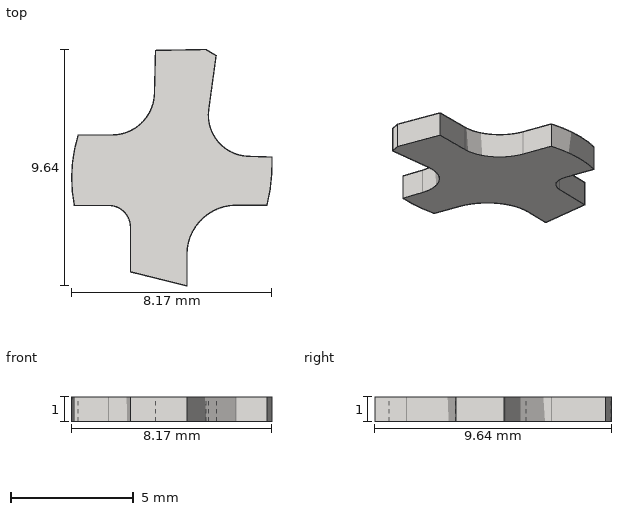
import cadquery as cq
import math

thickness = 1.0
length_x = 8.17
length_y = 9.64
left_x = -length_x / 2
right_x = length_x / 2
front_y = -length_y / 2
back_y = length_y / 2

back_arm_left_x = -0.67
back_left_drop = 0.035
back_left_lean = math.radians(1.4)
back_arm_right_x = 1.81
back_right_lean = math.radians(7.8)
clip_width = 0.42
clip_depth = 0.25

front_arm_left_x = -1.69
front_arm_right_x = 0.62
front_end_rise = 0.575

left_arm_back_y = 1.34
left_arm_front_y = -1.54
left_back_inset = 0.27
left_front_inset = 0.11
left_bulge_y = -0.43

right_arm_back_y = 0.44
right_arm_front_y = -1.53
right_back_slope = math.radians(1.8)
right_front_inset = 0.205
right_mid_inset = 0.033
right_mid_y = -0.55

back_left_radius = 1.72
back_right_radius = 1.67
front_left_radius = 0.88
front_right_radius = 2.0


def line_crossing(first_point, first_angle, second_point, second_angle):
    """Point where two lines meet, each given by a point and a direction angle."""
    dx = second_point[0] - first_point[0]
    dy = second_point[1] - first_point[1]
    cross = math.sin(second_angle - first_angle)
    travel = (dx * math.sin(second_angle) - dy * math.cos(second_angle)) / cross
    return (
        first_point[0] + travel * math.cos(first_angle),
        first_point[1] + travel * math.sin(first_angle),
    )


back_left_tip = (back_arm_left_x, back_y - back_left_drop)
back_clip_start = (back_arm_right_x - clip_width, back_y)
back_right_tip = (back_arm_right_x, back_y - clip_depth)
right_back_tip = (right_x, right_arm_back_y)
right_end_middle = (right_x - right_mid_inset, right_mid_y)
right_front_tip = (right_x - right_front_inset, right_arm_front_y)
front_right_tip = (front_arm_right_x, front_y)
front_left_tip = (front_arm_left_x, front_y + front_end_rise)
left_front_tip = (left_x + left_front_inset, left_arm_front_y)
left_back_tip = (left_x + left_back_inset, left_arm_back_y)

back_left_corner = line_crossing(
    back_left_tip, math.pi / 2 - back_left_lean, left_back_tip, 0
)
back_right_corner = line_crossing(
    back_right_tip, math.pi / 2 - back_right_lean, right_back_tip, -right_back_slope
)
front_right_corner = (front_arm_right_x, right_arm_front_y)
front_left_corner = (front_arm_left_x, left_arm_front_y)


def make_sharp_plate():
    """Plate with all inside corners still sharp."""
    return (
        cq.Workplane("XY")
        .moveTo(*back_left_tip)
        .lineTo(*back_clip_start)
        .lineTo(*back_right_tip)
        .lineTo(*back_right_corner)
        .lineTo(*right_back_tip)
        .threePointArc(right_end_middle, right_front_tip)
        .lineTo(*front_right_corner)
        .lineTo(*front_right_tip)
        .lineTo(*front_left_tip)
        .lineTo(*front_left_corner)
        .lineTo(*left_front_tip)
        .threePointArc((left_x, left_bulge_y), left_back_tip)
        .lineTo(*back_left_corner)
        .close()
        .extrude(thickness)
    )


def round_corner(plate, corner, radius):
    """Fillet the vertical edge standing at the given inside corner."""
    edge_middle = (corner[0], corner[1], thickness / 2)
    edge = cq.selectors.NearestToPointSelector(edge_middle)
    return plate.edges("|Z").edges(edge).fillet(radius)


inside_corners = [
    (back_left_corner, back_left_radius),
    (back_right_corner, back_right_radius),
    (front_right_corner, front_right_radius),
    (front_left_corner, front_left_radius),
]

result = make_sharp_plate()
for corner, radius in inside_corners:
    result = round_corner(result, corner, radius)